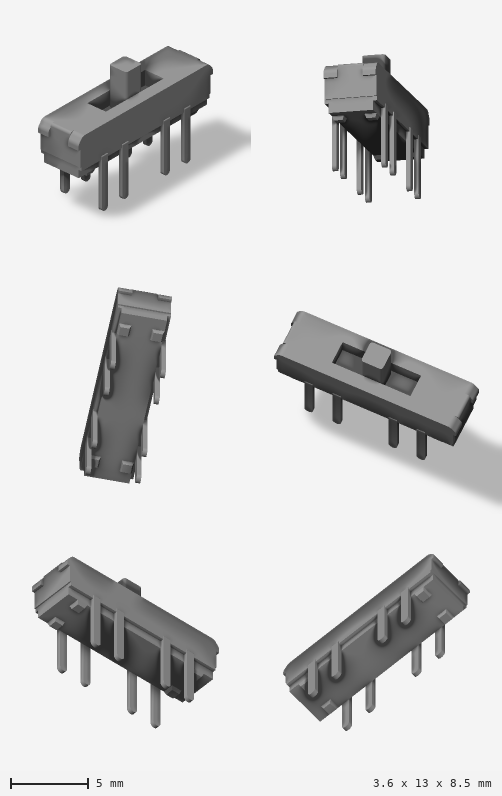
import cadquery as cq


overall_length = 13.0
cover_width = 3.5
hook_reach = 0.21
cover_length = overall_length - 2 * hook_reach
cover_end_depth = 2.3
cover_end_round = 0.2

hook_width = 0.9
hook_depth = 0.94
hook_chamfer_run = 0.42
hook_chamfer_drop = 0.5
hook_bend_radius = 0.4

base_length = 12.4
base_width = 2.99
skirt_depth = 2.59
base_depth = 3.21

slot_width = 1.61
slot_length = 5.6
slot_depth = 1.16
knob_side = 1.52
knob_height = 2.0
knob_corner_radius = 0.2

pin_span = 3.6
pin_width = 0.6
pin_thickness = (pin_span - base_width) / 2
pin_top_round = 0.08
pin_end_depth = 6.5
pin_pitch = 2.0
pin_rows = (-2, -1, 1, 2)

foot_top_side = 0.8
foot_bottom_side = 0.6
foot_height = 0.27
foot_x = (base_width - foot_top_side) / 2
foot_y = 5.0


def block(width, length, top, bottom):
    """Box centred on the Z axis between two heights."""
    return (
        cq.Workplane("XY")
        .workplane(offset=bottom)
        .rect(width, length)
        .extrude(top - bottom)
    )


def make_cover():
    """Cover body with its upper end edges rounded."""
    body = block(cover_width, cover_length, 0, -cover_end_depth)
    return body.edges("|X and >Z").fillet(cover_end_round)


def make_hook_bar():
    """Full-length bar whose ends have the bent hook outline."""
    half_length = overall_length / 2
    chamfer_top_y = half_length - hook_chamfer_run
    bar = (
        cq.Workplane("YZ")
        .moveTo(-half_length, -hook_depth)
        .lineTo(half_length, -hook_depth)
        .lineTo(half_length, -hook_chamfer_drop)
        .lineTo(chamfer_top_y, 0)
        .lineTo(-chamfer_top_y, 0)
        .lineTo(-half_length, -hook_chamfer_drop)
        .close()
        .extrude(hook_width / 2, both=True)
    )
    bar = bar.faces(">Z").edges("|X").fillet(hook_bend_radius)
    for end_face in ("<Y", ">Y"):
        bar = bar.faces(end_face).edges(">Z").fillet(hook_bend_radius)
    return bar


def make_pin():
    """Flat pin on the +X side with a rounded upper outer edge and a half-round tip."""
    radius = pin_width / 2
    return (
        cq.Workplane("YZ")
        .workplane(offset=base_width / 2)
        .moveTo(-radius, -cover_end_depth)
        .lineTo(radius, -cover_end_depth)
        .lineTo(radius, -pin_end_depth + radius)
        .threePointArc((0, -pin_end_depth), (-radius, -pin_end_depth + radius))
        .close()
        .extrude(pin_thickness)
        .edges("|Y and >Z and >X")
        .fillet(pin_top_round)
    )


def make_foot():
    """Tapered square foot below the base."""
    return (
        cq.Workplane("XY")
        .workplane(offset=-base_depth)
        .rect(foot_top_side, foot_top_side)
        .workplane(offset=-foot_height)
        .rect(foot_bottom_side, foot_bottom_side)
        .loft()
    )


def make_knob():
    """Square knob standing on the slot floor."""
    knob = block(knob_side, knob_side, knob_height, -slot_depth)
    return knob.edges("|Z").fillet(knob_corner_radius)


result = make_cover()
hook_bar = make_hook_bar()
hook_x = (cover_width - hook_width) / 2

for side in (-1, 1):
    cover_strip = block(hook_width, overall_length, 0, -hook_depth)
    result = result.cut(cover_strip.translate((side * hook_x, 0, 0)))
    result = result.union(hook_bar.translate((side * hook_x, 0, 0)))
result = result.union(block(cover_width, base_length, -cover_end_depth, -skirt_depth))
result = result.union(block(base_width, base_length, -skirt_depth, -base_depth))

result = result.cut(block(slot_width, slot_length, 0, -slot_depth))
result = result.union(make_knob())

pin = make_pin()
for row in pin_rows:
    right_pin = pin.translate((0, row * pin_pitch, 0))
    result = result.union(right_pin).union(right_pin.mirror("YZ"))

foot = make_foot()
for side_x in (-1, 1):
    for side_y in (-1, 1):
        result = result.union(foot.translate((side_x * foot_x, side_y * foot_y, 0)))